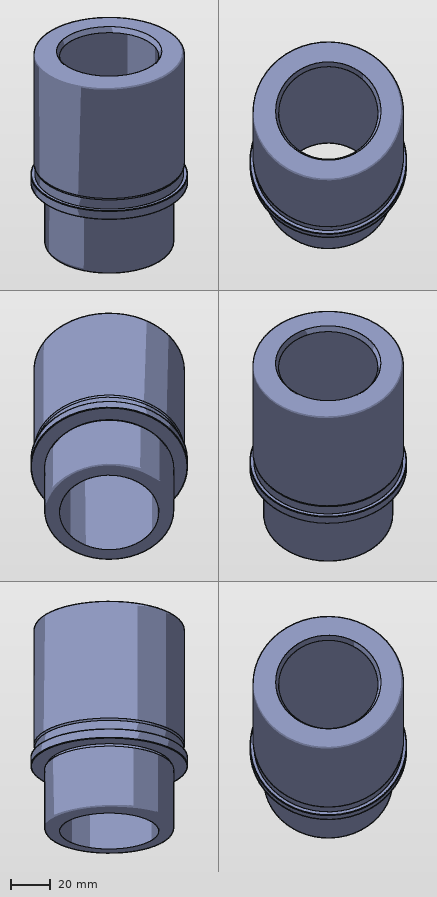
import cadquery as cq

total_height = 110.0
collar_bottom = 35.0
collar_top = 40.0
body_bottom = 45.2

bore_radius = 25.0
spigot_radius = 32.6
neck_radius = 37.5
body_radius = 38.0
collar_radius = 39.5

end_fillet = 2.0
bore_chamfer_width = 1.5
bore_chamfer_height = 2.6
collar_chamfer = 0.3
body_taper_height = 1.1
relief_depth = 1.1
relief_height = 1.8


def turned_blank():
    """Revolve the stepped outer outline about the Z axis."""
    outline = (
        cq.Workplane("XZ")
        .moveTo(0, 0)
        .lineTo(spigot_radius, 0)
        .lineTo(spigot_radius, collar_bottom - relief_height)
        .lineTo(spigot_radius - relief_depth, collar_bottom)
        .lineTo(collar_radius - collar_chamfer, collar_bottom)
        .lineTo(collar_radius, collar_bottom + collar_chamfer)
        .lineTo(collar_radius, collar_top - collar_chamfer)
        .lineTo(collar_radius - collar_chamfer, collar_top)
        .lineTo(neck_radius, collar_top)
        .lineTo(neck_radius, body_bottom)
        .lineTo(body_radius, body_bottom + body_taper_height)
        .lineTo(body_radius, total_height)
        .lineTo(0, total_height)
        .close()
    )
    return outline.revolve(360, (0, 0, 0), (0, 1, 0))


def bore():
    """Through bore with a conical mouth at the upper end."""
    outline = (
        cq.Workplane("XZ")
        .moveTo(0, 0)
        .lineTo(bore_radius, 0)
        .lineTo(bore_radius, total_height - bore_chamfer_height)
        .lineTo(bore_radius + bore_chamfer_width, total_height)
        .lineTo(0, total_height)
        .close()
    )
    return outline.revolve(360, (0, 0, 0), (0, 1, 0))


rounded_blank = turned_blank().faces("<Z or >Z").edges().fillet(end_fillet)
result = rounded_blank.cut(bore())